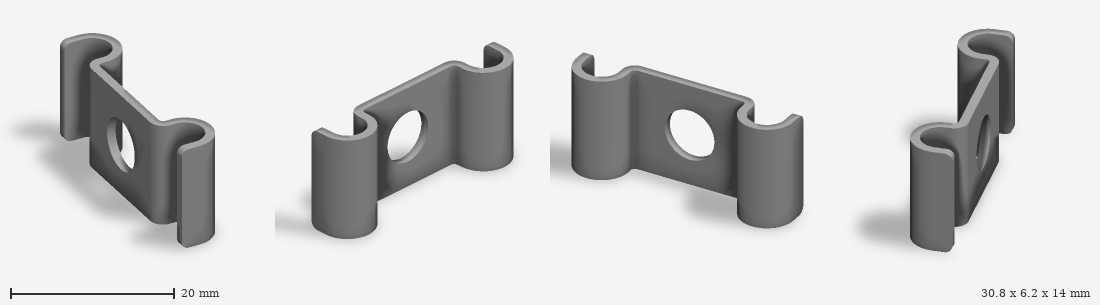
import cadquery as cq

length = 30.8
height = 14.0
thickness = 1.2
loop_outer_radius = 3.7
leg_length = 2.5
bend_inner_radius = 0.6
hole_diameter = 7.0
corner_radius = 1.0

loop_inner_radius = loop_outer_radius - thickness
bend_outer_radius = bend_inner_radius + thickness
loop_x = length / 2 - loop_outer_radius
depth = leg_length + loop_outer_radius
plate_end_x = loop_x - loop_inner_radius - bend_outer_radius


def make_half_strip():
    """Right half of the bent strip: flat plate, bend, round loop and free leg."""
    wall_inner_x = loop_x - loop_outer_radius
    wall_outer_x = loop_x - loop_inner_radius
    profile = (
        cq.Workplane("XY")
        .moveTo(0, 0)
        .lineTo(plate_end_x, 0)
        .radiusArc((wall_outer_x, bend_outer_radius), -bend_outer_radius)
        .lineTo(wall_outer_x, leg_length)
        .threePointArc(
            (loop_x, leg_length + loop_inner_radius),
            (loop_x + loop_inner_radius, leg_length),
        )
        .lineTo(loop_x + loop_inner_radius, 0)
        .lineTo(length / 2, 0)
        .lineTo(length / 2, leg_length)
        .threePointArc((loop_x, depth), (wall_inner_x, leg_length))
        .lineTo(wall_inner_x, bend_outer_radius)
        .radiusArc((plate_end_x, thickness), bend_inner_radius)
        .lineTo(0, thickness)
        .close()
    )
    return profile.extrude(height / 2, both=True)


def round_leg_corners(strip):
    """Round the top and bottom corners at the tip of the free leg."""
    leg_tip = cq.selectors.BoxSelector(
        (loop_x, -thickness, -height), (length, thickness, height)
    )
    return strip.edges("|X").edges(leg_tip).fillet(corner_radius)


half_strip = round_leg_corners(make_half_strip())
strip = half_strip.union(half_strip.mirror("YZ"))

hole = cq.Workplane("XZ").circle(hole_diameter / 2).extrude(depth, both=True)
result = strip.cut(hole)